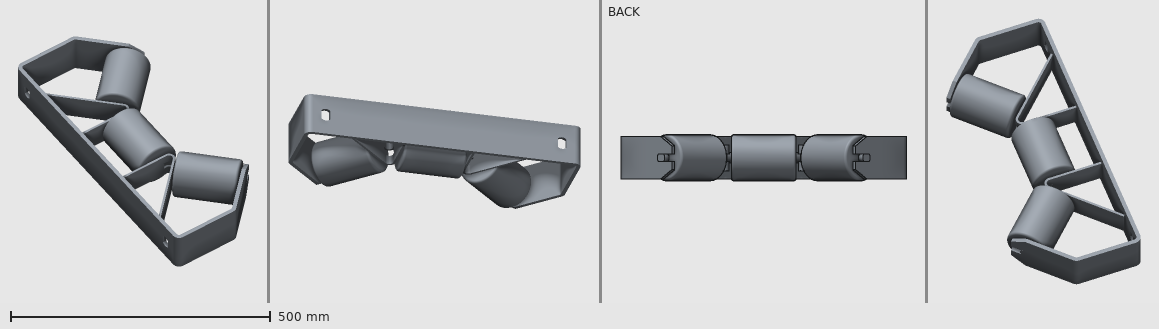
import cadquery as cq
import math

DIAGONAL = math.sqrt(0.5)

tilt = 45
roller_diameter = 89
roller_length = 125
roller_edge_radius = 5
shaft_diameter = 20
shaft_flat_width = 14
roller_gap = 4.25
shoulder_length = 3.5
shoulder_span = roller_length + 2 * shoulder_length
plate_span = roller_length + 2 * roller_gap

frame_width = 550
frame_height = 82
frame_thickness = 8
frame_bend_radius = 14
arm_tip_y = 234.65
arm_chamfer_length = 30
arm_chamfer_height = 18

mount_spacing = 470
mount_width = 17
mount_height = 25

bracket_height = 50
bracket_thickness = 4.5
bracket_bend_radius = 12
bracket_bend_y = 116
shaft_drop = 15.03

base_y = frame_thickness
bracket_face_x = -plate_span / 2
bracket_bend_x = bracket_face_x - bracket_bend_radius
middle_axis_y = bracket_bend_y - shaft_drop


def incline(x, y, along, outward):
    """Point reached from (x, y) by going up the 45 degree slope and out to its upper left."""
    return (x + (along - outward) * DIAGONAL, y + (along + outward) * DIAGONAL)


roller_offset = bracket_bend_radius + plate_span / 2
outer_roller_x, outer_roller_y = incline(bracket_bend_x, bracket_bend_y, -shaft_drop, roller_offset)

arm_inner_outward = (outer_roller_y - outer_roller_x) * DIAGONAL + plate_span / 2
arm_outer_outward = arm_inner_outward + frame_thickness
frame_bend_x = -frame_width / 2 + frame_bend_radius
arm_bend_y = frame_bend_x + (arm_outer_outward - frame_bend_radius) / DIAGONAL
arm_rise = arm_tip_y - arm_bend_y - frame_bend_radius * DIAGONAL
arm_length = arm_rise / DIAGONAL


def mirror_to_right(body):
    return body.mirror("YZ")


def slope_plane(x, y):
    """Plane at (x, y, 0) whose X runs up the slope, Y is the part's Z and normal points down right."""
    return cq.Plane(origin=(x, y, 0), xDir=(1, 1, 0), normal=(1, -1, 0))


def shaft_slot(plane, length, depth):
    """Cutter for a slot with a shaft-shaped closed end, running along the plane's X."""
    radius = shaft_diameter / 2
    half_width = shaft_flat_width / 2
    arc_start = math.sqrt(radius**2 - half_width**2)
    return (
        cq.Workplane(plane)
        .moveTo(length, -half_width)
        .lineTo(-arc_start, -half_width)
        .threePointArc((-radius, 0), (-arc_start, half_width))
        .lineTo(length, half_width)
        .close()
        .extrude(depth / 2, both=True)
    )


def bend_arcs(x, y, outer_radius, thickness, start_angle, end_angle):
    """Start, middle and end points on the outer and inner arcs of a bend about (x, y)."""
    angles = [math.radians(a) for a in (start_angle, (start_angle + end_angle) / 2, end_angle)]
    radii = (outer_radius, outer_radius - thickness)
    return [[(x + r * math.cos(a), y + r * math.sin(a)) for a in angles] for r in radii]


def frame_half():
    base_outer, base_inner = bend_arcs(
        frame_bend_x, frame_bend_radius, frame_bend_radius, frame_thickness, 270, 180
    )
    arm_outer, arm_inner = bend_arcs(
        frame_bend_x, arm_bend_y, frame_bend_radius, frame_thickness, 180, 180 - tilt
    )
    tip_outer = incline(frame_bend_x, arm_bend_y, arm_length, frame_bend_radius)
    tip_inner = incline(frame_bend_x, arm_bend_y, arm_length, frame_bend_radius - frame_thickness)
    return (
        cq.Workplane("XY")
        .moveTo(0, 0)
        .lineTo(*base_outer[0])
        .threePointArc(*base_outer[1:])
        .lineTo(*arm_outer[0])
        .threePointArc(*arm_outer[1:])
        .lineTo(*tip_outer)
        .lineTo(*tip_inner)
        .lineTo(*arm_inner[2])
        .threePointArc(*arm_inner[1::-1])
        .lineTo(*base_inner[2])
        .threePointArc(*base_inner[1::-1])
        .lineTo(0, base_y)
        .close()
        .extrude(frame_height / 2, both=True)
    )


def arm_tip_corners():
    """Cutters for the two bevelled corners of the arm's tip."""
    tip = incline(frame_bend_x, arm_bend_y, arm_length, frame_bend_radius)
    top = frame_height / 2
    corners = cq.Workplane(slope_plane(*tip))
    for side in (1, -1):
        corners = (
            corners.moveTo(0, side * top)
            .lineTo(-arm_chamfer_length, side * top)
            .lineTo(0, side * (top - arm_chamfer_height))
            .close()
        )
    return corners.extrude(frame_thickness)


def mount_slot():
    hole = (
        cq.Workplane("XZ")
        .center(-mount_spacing / 2, 0)
        .circle(mount_height / 2)
        .extrude(-frame_thickness)
    )
    flats = cq.Workplane("XY").box(mount_width, 2 * frame_thickness, mount_height)
    return hole.intersect(flats.translate((-mount_spacing / 2, 0, 0)))


def build_frame():
    arm_middle = incline(outer_roller_x, outer_roller_y, 0, (plate_span + frame_thickness) / 2)
    half = (
        frame_half()
        .cut(arm_tip_corners())
        .cut(shaft_slot(slope_plane(*arm_middle), arm_length, frame_thickness))
        .cut(mount_slot())
    )
    return half.union(mirror_to_right(half))


def build_bracket():
    outer, inner = bend_arcs(
        bracket_bend_x, bracket_bend_y, bracket_bend_radius, bracket_thickness, 0, 180 - tilt
    )
    foot_inner_x = inner[2][0] - (inner[2][1] - base_y)
    foot_inner = (foot_inner_x, base_y)
    foot_outer = incline(*foot_inner, 0, bracket_thickness)
    strip = (
        cq.Workplane("XY")
        .moveTo(bracket_face_x, base_y)
        .lineTo(*outer[0])
        .threePointArc(*outer[1:])
        .lineTo(*foot_outer)
        .lineTo(*foot_inner)
        .lineTo(*inner[2])
        .threePointArc(*inner[1::-1])
        .lineTo(bracket_face_x - bracket_thickness, base_y)
        .close()
        .extrude(bracket_height / 2, both=True)
    )

    leg_x = bracket_face_x - bracket_thickness / 2
    upright = cq.Plane(origin=(leg_x, middle_axis_y, 0), xDir=(0, 1, 0), normal=(1, 0, 0))
    leg_outward = -(plate_span + bracket_thickness) / 2
    slope = slope_plane(*incline(outer_roller_x, outer_roller_y, 0, leg_outward))
    over_bend = (
        cq.Workplane("XY")
        .moveTo(bracket_bend_x, bracket_bend_y)
        .circle(bracket_bend_radius)
        .extrude(shaft_flat_width / 2, both=True)
    )
    return (
        strip.cut(shaft_slot(upright, shaft_drop, bracket_thickness))
        .cut(shaft_slot(slope, shaft_drop, bracket_thickness))
        .cut(over_bend)
    )


def build_roller(left_plate, right_plate):
    """Roller along X about the origin, its shaft ends filling the plates on either side."""
    half_length = roller_length / 2
    radius = roller_diameter / 2
    drum = (
        cq.Workplane("XY")
        .moveTo(-half_length, 0)
        .lineTo(half_length, 0)
        .lineTo(half_length, -radius)
        .lineTo(-half_length, -radius)
        .close()
        .revolve(360, (0, 0, 0), (1, 0, 0))
        .faces("<X or >X")
        .edges()
        .fillet(roller_edge_radius)
    )
    shoulders = cq.Workplane("YZ").circle(shaft_diameter / 2).extrude(shoulder_span / 2, both=True)
    shaft_length = left_plate + plate_span + right_plate
    shaft = (
        cq.Workplane("YZ", origin=(-plate_span / 2 - left_plate, 0, 0))
        .circle(shaft_diameter / 2)
        .extrude(shaft_length)
    )
    flats = cq.Workplane("XY").box(2 * shaft_length, shaft_diameter, shaft_flat_width)
    return drum.union(shoulders).union(shaft.intersect(flats))


frame = build_frame()
left_bracket = build_bracket()
brackets = [left_bracket, mirror_to_right(left_bracket)]

middle_roller = build_roller(bracket_thickness, bracket_thickness).translate((0, middle_axis_y, 0))
left_roller = (
    build_roller(frame_thickness, bracket_thickness)
    .rotate((0, 0, 0), (0, 0, 1), -tilt)
    .translate((outer_roller_x, outer_roller_y, 0))
)
rollers = [left_roller, middle_roller, mirror_to_right(left_roller)]

bodies = [frame, *brackets, *rollers]
result = cq.Compound.makeCompound([body.val() for body in bodies])